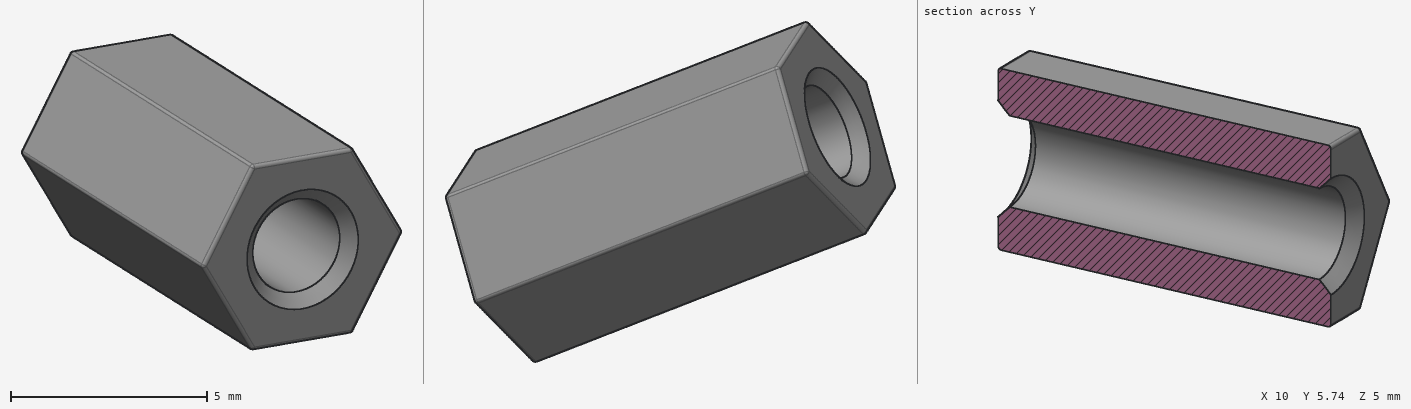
import cadquery as cq
import math

length = 10.0
across_flats = 5.0
edge_radius = 0.1
bore_diameter = 2.5
countersink_diameter = 3.2
countersink_angle = 90.0

hex_sides = 6
across_corners = across_flats / math.cos(math.pi / hex_sides)
countersink_width = (countersink_diameter - bore_diameter) / 2
countersink_depth = countersink_width / math.tan(math.radians(countersink_angle / 2))


def hex_body():
    """Hexagonal bar with flats facing +Z and -Z and all edges rounded."""
    bar = cq.Workplane("YZ").polygon(hex_sides, across_corners).extrude(length / 2, both=True)
    return bar.edges().fillet(edge_radius)


def bore_cutter():
    """Through bore widened by a countersink at both ends, revolved about X."""
    half_length = length / 2
    bore_radius = bore_diameter / 2
    mouth_radius = countersink_diameter / 2
    cone_end = half_length - countersink_depth
    profile = (
        cq.Workplane("XY")
        .moveTo(-half_length, 0)
        .lineTo(-half_length, mouth_radius)
        .lineTo(-cone_end, bore_radius)
        .lineTo(cone_end, bore_radius)
        .lineTo(half_length, mouth_radius)
        .lineTo(half_length, 0)
        .close()
    )
    return profile.revolve(360, (0, 0, 0), (1, 0, 0))


result = hex_body().cut(bore_cutter())